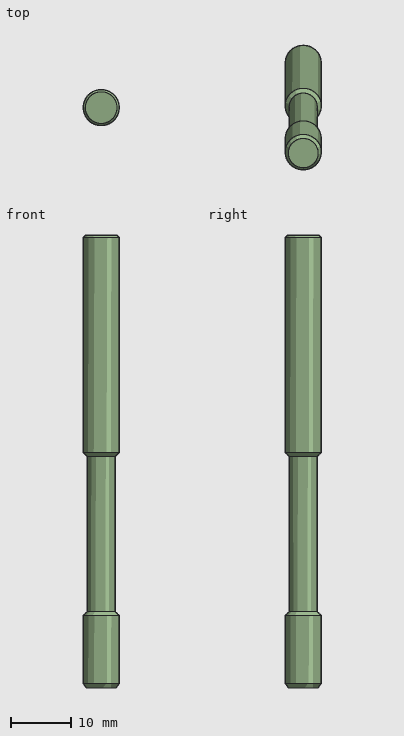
import cadquery as cq

length = 75.0
radius = 3.0

neck_radius = 2.3
shoulder = radius - neck_radius
head_top = 12.7
shank_bottom = 38.3

tip_chamfer_height = 0.75
tip_chamfer_width = 0.5
shank_chamfer = 0.4


def make_head():
    """Cylinder chamfered at both ends, steeper at the tip, revolved about Z."""
    return (
        cq.Workplane("XZ")
        .lineTo(radius - tip_chamfer_width, 0)
        .lineTo(radius, tip_chamfer_height)
        .lineTo(radius, head_top - shoulder)
        .lineTo(radius - shoulder, head_top)
        .lineTo(0, head_top)
        .close()
        .revolve(360, (0, 0), (0, 1))
    )


def make_shank():
    """Neck and shank in one piece, revolved about Z."""
    return (
        cq.Workplane("XZ")
        .moveTo(0, head_top)
        .lineTo(neck_radius, head_top)
        .lineTo(neck_radius, shank_bottom)
        .lineTo(radius, shank_bottom + shoulder)
        .lineTo(radius, length - shank_chamfer)
        .lineTo(radius - shank_chamfer, length)
        .lineTo(0, length)
        .close()
        .revolve(360, (0, 0), (0, 1))
    )


head = make_head()
shank = make_shank()

result = cq.Compound.makeCompound([head.val(), shank.val()])